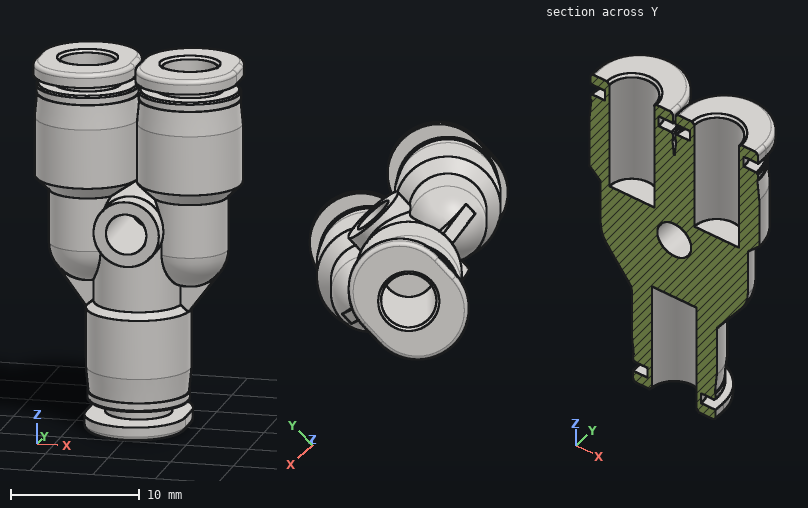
import cadquery as cq
import math

height = 29.3
width = 16.4
tube_pitch = 8.17
tube_offset = tube_pitch / 2

head_radius = (width - tube_pitch) / 2
taper_start_radius = 3.93
collar_radius = 3.98
collar_chamfer = 0.15
collar_depth = 2.05
taper_start_depth = 2.78
taper_end_depth = 4.75
head_depth = 9.45

neck_radius = 2.6
flange_length = 10.0
flange_radius = 3.98
flange_thickness = 1.1
flange_fillet = 0.35

bore_radius = 2.15
bore_chamfer = 0.23

stem_radius = 3.02
shoulder_depth = 10.55
stem_end_depth = 14.83

core_radius = 3.52
core_chamfer_height = 0.53
boss_center_z = 16.38
boss_radius = 2.6
boss_length = 8.2
boss_hole_radius = 1.6
seam_turn = 45

fin_thickness = 1.05


def head_profile():
    """Half outline of a port head, open end at Z = 0, body along -Z; left open at its inner end."""
    return (
        cq.Workplane("XZ")
        .moveTo(0, -flange_thickness / 2)
        .lineTo(neck_radius, -flange_thickness / 2)
        .lineTo(neck_radius, -collar_depth)
        .lineTo(collar_radius - collar_chamfer, -collar_depth)
        .lineTo(collar_radius, -collar_depth - collar_chamfer)
        .lineTo(collar_radius, -taper_start_depth)
        .lineTo(taper_start_radius, -taper_start_depth)
        .lineTo(head_radius, -taper_end_depth)
        .lineTo(head_radius, -head_depth)
    )


def revolve(profile):
    return profile.close().revolve(360, (0, 0, 0), (0, 1, 0))


def flange():
    """Oblong flange, long along Y, rounded on its outer face."""
    return (
        cq.Workplane("XY")
        .slot2D(flange_length, 2 * flange_radius, 90)
        .extrude(-flange_thickness)
        .faces(">Z").edges().fillet(flange_fillet)
    )


def bore():
    """Cutter for the blind bore with a chamfered mouth."""
    return revolve(
        cq.Workplane("XZ")
        .lineTo(bore_radius + bore_chamfer, 0)
        .lineTo(bore_radius, -bore_chamfer)
        .lineTo(bore_radius, -shoulder_depth)
        .lineTo(0, -shoulder_depth)
    )


def upper_tube():
    """Port head on a slimmer stem with a hemispherical end."""
    arc_reach = stem_radius * math.sqrt(0.5)
    profile = (
        head_profile()
        .lineTo(stem_radius, -shoulder_depth)
        .lineTo(stem_radius, -stem_end_depth)
        .threePointArc((arc_reach, -stem_end_depth - arc_reach), (0, -stem_end_depth - stem_radius))
    )
    return revolve(profile).union(flange())


def lower_tube():
    """Port head on the central stem, which ends in a dome at the boss."""
    arc_reach = core_radius * math.sqrt(0.5)
    profile = (
        head_profile()
        .lineTo(core_radius, -head_depth - core_chamfer_height)
        .lineTo(core_radius, -boss_center_z)
        .threePointArc((arc_reach, -boss_center_z - arc_reach), (0, -boss_center_z - core_radius))
    )
    return revolve(profile).union(flange())


def at_top(shape, side):
    return shape.translate((side * tube_offset, 0, height))


def at_bottom(shape):
    return shape.rotate((0, 0, 0), (1, 0, 0), 180)


def cross_cylinder(radius):
    """Cylinder along Y through the boss centre; the turn keeps its seam off the edge of the dome."""
    return (
        cq.Workplane("XZ", origin=(0, 0, boss_center_z))
        .transformed(rotate=(0, 0, seam_turn))
        .circle(radius)
        .extrude(boss_length / 2, both=True)
    )


def fins():
    """Web whose slanted edges run from the lower head tangent to the stem hemispheres."""
    stem_end_z = height - stem_end_depth
    run = tube_offset - head_radius
    drop = stem_end_z - head_depth
    tangent_angle = math.asin(stem_radius / math.hypot(run, drop)) + math.atan2(run, drop)
    tangent_x = tube_offset + stem_radius * math.cos(tangent_angle)
    tangent_z = stem_end_z - stem_radius * math.sin(tangent_angle)
    return (
        cq.Workplane("XZ")
        .polyline([
            (-head_radius, head_depth),
            (head_radius, head_depth),
            (tangent_x, tangent_z),
            (tube_offset, stem_end_z),
            (-tube_offset, stem_end_z),
            (-tangent_x, tangent_z),
        ])
        .close()
        .extrude(fin_thickness / 2, both=True)
    )


body = at_bottom(lower_tube()).union(cross_cylinder(boss_radius))
for side in (-1, 1):
    body = body.union(at_top(upper_tube(), side))
body = body.union(fins())

body = body.cut(cross_cylinder(boss_hole_radius)).cut(at_bottom(bore()))
for side in (-1, 1):
    body = body.cut(at_top(bore(), side))
result = body